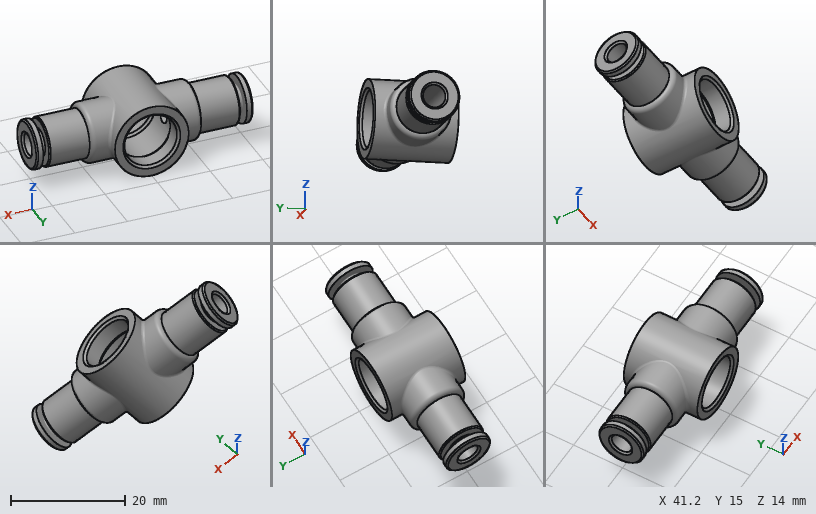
import cadquery as cq

length = 41.2
half_length = length / 2

sleeve_length = 15.0
sleeve_radius = 7.0
land_radius = 5.0
bore_cone_depth = 0.45
sleeve_mouth_radius = land_radius + bore_cone_depth
chamber_radius = sleeve_mouth_radius
land_end_depth = 3.5

collar_radius = 4.55
collar_thickness = 1.25
collar_chamfer = 0.3
neck_radius = 2.6
neck_fillet = 0.15
arm_start = 2.45
arm_radius = 4.55
arm_chamfer = 0.25
shoulder_start = 10.05
shoulder_radius = 5.52
shoulder_round = 0.9
junction_round = 0.5

passage_mouth_radius = 2.4
passage_mouth_depth = 0.37
passage_radius = 2.0
passage_inner_radius = 1.5


def revolve_about_x(profile):
    """Solid of revolution from (x, radius) points."""
    return cq.Workplane("XY").polyline(profile).close().revolve(360, (0, 0), (1, 0))


def revolve_about_y(profile):
    """Solid of revolution from (radius, y) points."""
    return cq.Workplane("XY").polyline(profile).close().revolve(360, (0, 0), (0, 1))


def x_cylinder(radius, x_start, x_end):
    """Solid cylinder on the X axis between two positions."""
    return cq.Workplane("YZ", origin=(x_start, 0, 0)).circle(radius).extrude(x_end - x_start)


def hub():
    """Sleeve merged with two shoulders, filleted where they meet and rounded outside."""
    shoulder_end = half_length - shoulder_start
    sleeve = cq.Workplane("XZ").circle(sleeve_radius).extrude(sleeve_length / 2, both=True)
    body = sleeve.union(x_cylinder(shoulder_radius, -shoulder_end, shoulder_end))
    body = body.edges("not(%CIRCLE or %LINE)").fillet(junction_round)
    return body.faces("<X or >X").edges("%CIRCLE").fillet(shoulder_round)


def left_arm():
    """Arm, neck and release collar on the -X side."""
    collar = x_cylinder(collar_radius, -half_length, collar_thickness - half_length)
    collar = collar.faces("<X").edges().chamfer(collar_chamfer)
    neck = x_cylinder(neck_radius, collar_thickness - half_length, arm_start - half_length)
    neck_corner = cq.selectors.BoxSelector(
        (collar_thickness - half_length - neck_fillet, -neck_radius - neck_fillet, -neck_radius - neck_fillet),
        (collar_thickness - half_length + neck_fillet, neck_radius + neck_fillet, neck_radius + neck_fillet),
        boundingbox=True,
    )
    collar = collar.union(neck).edges(neck_corner).fillet(neck_fillet)
    arm = x_cylinder(arm_radius, arm_start - half_length, shoulder_start - half_length)
    arm = arm.faces("<X").edges().chamfer(arm_chamfer)
    return arm.union(collar)


def left_passage():
    """Tapered passage from the -X end into the sleeve bore."""
    return revolve_about_x([
        (-half_length, 0),
        (-half_length, passage_mouth_radius),
        (passage_mouth_depth - half_length, passage_radius),
        (-chamber_radius, passage_inner_radius),
        (0, passage_inner_radius),
        (0, 0),
    ])


def sleeve_bore():
    """Through bore with a conical mouth and a narrow land at each end, and a wider middle chamber."""
    sleeve_end = sleeve_length / 2
    mouth_y = sleeve_end - bore_cone_depth
    land_y = sleeve_end - land_end_depth
    upper_profile = [
        (chamber_radius, land_y - bore_cone_depth),
        (land_radius, land_y),
        (land_radius, mouth_y),
        (sleeve_mouth_radius, sleeve_end),
    ]
    lower_profile = [(radius, -y) for radius, y in reversed(upper_profile)]
    return revolve_about_y([(0, sleeve_end), (0, -sleeve_end)] + lower_profile + upper_profile)


arm = left_arm()
passage = left_passage()
body = hub().union(arm).union(arm.mirror("YZ"))
result = body.cut(sleeve_bore()).cut(passage).cut(passage.mirror("YZ"))